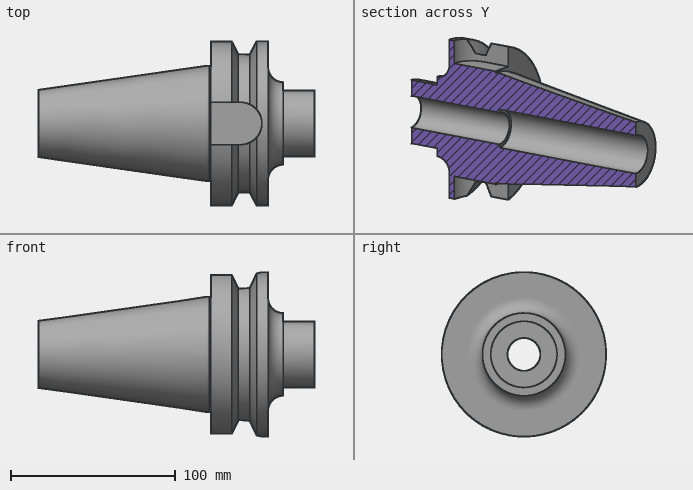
import cadquery as cq

total_length = 167.7
taper_end = 101.8
neck_chamfer_start = 103.8
flange_start = 104.6
groove_start = 117.4
groove_floor_start = 121.4
groove_floor_end = 128.3
groove_end = 132.5
flange_end = 139.5
collar_end = 148.5

taper_small_radius = 20.5
neck_radius = 35.0
neck_root_radius = 34.5
flange_radius = 50.0
groove_radius = 42.1
collar_radius = 25.2
spigot_radius = 20.1

bore_radius = 9.9
counterbore_radius = 11.9
counterbore_depth = taper_end

slot_width = 25.7
slot_end = 135.7
slot_floor_height = 35.7


def make_body():
    """Taper, grooved flange, concave collar and spigot, turned about X."""
    fillet_radius = collar_end - flange_end
    diagonal = fillet_radius * 0.5 ** 0.5
    collar_base_radius = collar_radius + fillet_radius
    arc_middle = (collar_end - diagonal, collar_base_radius - diagonal)
    profile = (
        cq.Workplane("XY")
        .lineTo(0, taper_small_radius)
        .lineTo(taper_end, neck_radius)
        .lineTo(neck_chamfer_start, neck_radius)
        .lineTo(flange_start, neck_root_radius)
        .lineTo(flange_start, flange_radius)
        .lineTo(groove_start, flange_radius)
        .lineTo(groove_floor_start, groove_radius)
        .lineTo(groove_floor_end, groove_radius)
        .lineTo(groove_end, flange_radius)
        .lineTo(flange_end, flange_radius)
        .lineTo(flange_end, collar_base_radius)
        .threePointArc(arc_middle, (collar_end, collar_radius))
        .lineTo(collar_end, spigot_radius)
        .lineTo(total_length, spigot_radius)
        .lineTo(total_length, 0)
        .close()
    )
    return profile.revolve(360, (0, 0, 0), (1, 0, 0))


def make_bore():
    """Through bore with the counterbore from the taper end."""
    bore = cq.Workplane("YZ").circle(bore_radius).extrude(total_length)
    counterbore = cq.Workplane("YZ").circle(counterbore_radius).extrude(counterbore_depth)
    return bore.union(counterbore)


def make_upper_slot():
    """Cutter for the upper drive slot: flat floor and a round closed end."""
    half_width = slot_width / 2
    round_center = slot_end - half_width
    return (
        cq.Workplane("XY", origin=(0, 0, slot_floor_height))
        .moveTo(flange_start, -half_width)
        .lineTo(round_center, -half_width)
        .threePointArc((slot_end, 0), (round_center, half_width))
        .lineTo(flange_start, half_width)
        .close()
        .extrude(flange_radius - slot_floor_height)
    )


upper_slot = make_upper_slot()
lower_slot = upper_slot.mirror("XY")
result = make_body().cut(make_bore()).cut(upper_slot).cut(lower_slot)